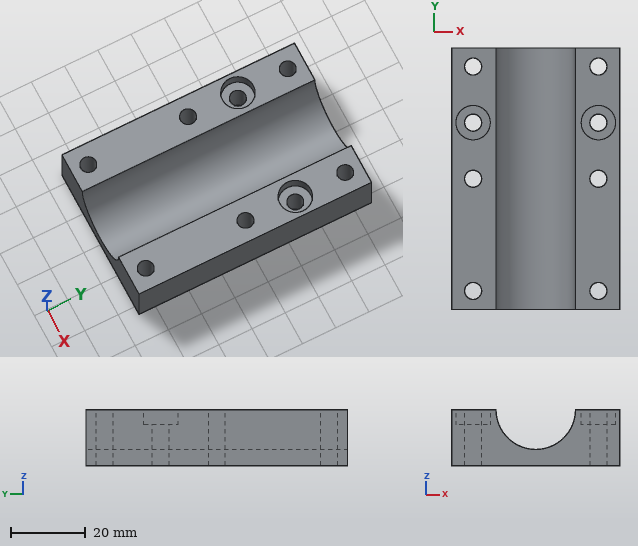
import cadquery as cq

width = 45.0
length = 70.0
height = 15.0

trough_diameter = 21.2

hole_diameter = 4.5
row_spacing = 33.5
end_margin = 5.0
hole_pitch = 15.0
back_hole_y = length / 2 - end_margin
counterbored_hole_y = back_hole_y - hole_pitch
middle_hole_y = counterbored_hole_y - hole_pitch
front_hole_y = -back_hole_y

counterbore_diameter = 9.2
counterbore_depth = 4.0


def make_block():
    return cq.Workplane("XY").box(width, length, height, centered=(True, True, False))


def make_trough():
    return (
        cq.Workplane("XZ", origin=(0, length / 2, height))
        .circle(trough_diameter / 2)
        .extrude(length)
    )


def row_points(y_positions):
    """Points at the given Y positions in both hole rows."""
    return [(side * row_spacing / 2, y) for side in (-1, 1) for y in y_positions]


def top_plane(body):
    return body.faces(">Z").workplane(origin=(0, 0, height))


def drill_plain_holes(body):
    points = row_points([back_hole_y, middle_hole_y, front_hole_y])
    return top_plane(body).pushPoints(points).hole(hole_diameter)


def drill_counterbored_holes(body):
    points = row_points([counterbored_hole_y])
    return (
        top_plane(body)
        .pushPoints(points)
        .cboreHole(hole_diameter, counterbore_diameter, counterbore_depth)
    )


body = make_block().cut(make_trough())
body = drill_plain_holes(body)
result = drill_counterbored_holes(body)